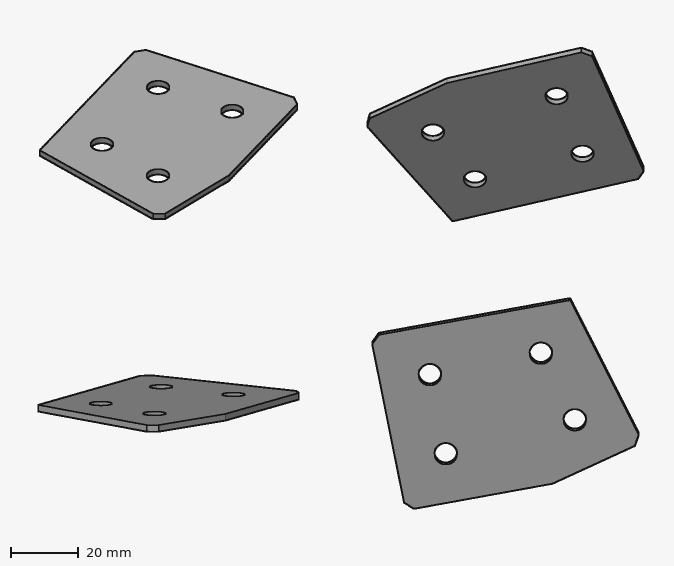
import cadquery as cq
import math

width = 55.0
length = 72.0
thickness = 2.0
corner_cut = 2.5

tilt = math.radians(15)
lower_edge_run = 44.9

hole_diameter = 6.6
hole_inset = 15.0
upper_hole_spacing = 25.0
lower_hole_spacing = 23.0

along = cq.Vector(math.cos(tilt), -math.sin(tilt))
up = cq.Vector(math.sin(tilt), math.cos(tilt))

lower_left = cq.Vector(0, lower_edge_run * math.tan(tilt))
lowest = cq.Vector(lower_edge_run, 0)
tip = lowest + along * corner_cut
tip_cut_end = tip + up * corner_cut
bend_y = tip.y + (width - tip.x) / math.tan(tilt)

outline = [
    (lower_left.x, lower_left.y),
    (lowest.x, lowest.y),
    (tip_cut_end.x, tip_cut_end.y),
    (width, bend_y),
    (width, length - corner_cut),
    (width - corner_cut, length),
    (corner_cut, length),
    (0, length - corner_cut),
]

upper_y = length - hole_inset
lower_right_hole = tip + (up - along) * hole_inset
lower_left_hole = lower_right_hole - along * lower_hole_spacing
hole_centers = [
    (hole_inset, upper_y),
    (hole_inset + upper_hole_spacing, upper_y),
    (lower_right_hole.x, lower_right_hole.y),
    (lower_left_hole.x, lower_left_hole.y),
]

plate = cq.Workplane("XY").polyline(outline).close().extrude(thickness)
holes = (
    cq.Workplane("XY")
    .pushPoints(hole_centers)
    .circle(hole_diameter / 2)
    .extrude(thickness)
)
result = plate.cut(holes)